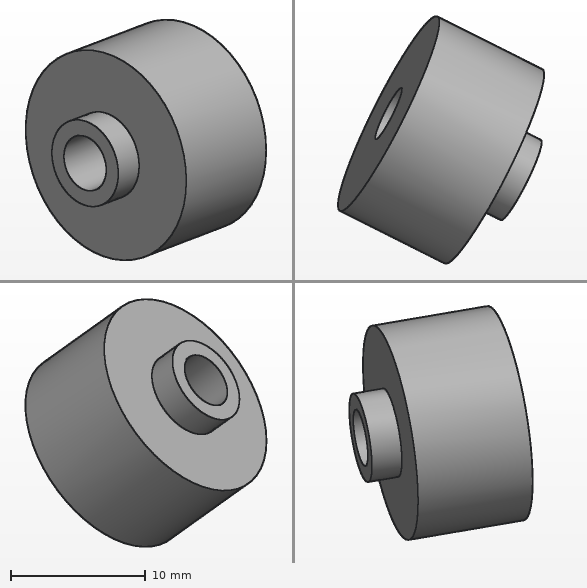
import cadquery as cq

body_diameter = 16.23
hub_diameter = 6.7
bore_diameter = 4.27
total_length = 11.15
hub_length = 2.3
body_length = total_length - hub_length


def cylinder_along_y(diameter, start_y, length):
    """Solid cylinder on the Y axis, running from start_y toward +Y."""
    return cq.Workplane("XZ", origin=(0, start_y, 0)).circle(diameter / 2).extrude(-length)


body = cylinder_along_y(body_diameter, 0, body_length)
hub = cylinder_along_y(hub_diameter, -hub_length, hub_length)
bore = cylinder_along_y(bore_diameter, -hub_length, total_length)

result = body.union(hub).cut(bore)